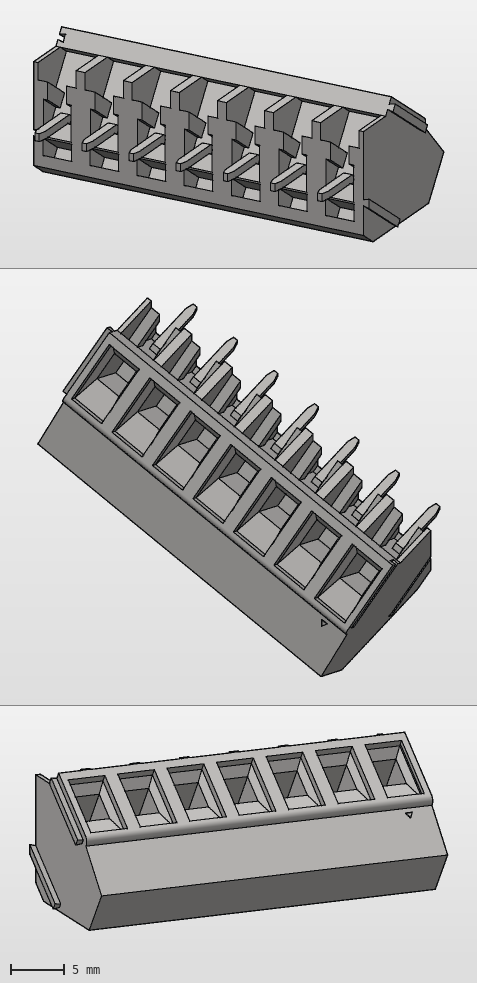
import cadquery as cq
import math


POLE_COUNT = 7
TOTAL_LENGTH = 35.6
TONGUE_DEPTH = 0.6
BODY_LENGTH = TOTAL_LENGTH - TONGUE_DEPTH
PITCH = BODY_LENGTH / POLE_COUNT
POLE_CENTRES = [PITCH * (pole + 0.5) for pole in range(POLE_COUNT)]

TILT = math.radians(35)
COS_TILT = math.cos(TILT)
SIN_TILT = math.sin(TILT)
OUTWARD = (0, -COS_TILT, SIN_TILT)
UPWARD = (0, SIN_TILT, COS_TILT)

FRONT_TOP = 11.75
FRONT_BOTTOM = 1.3
CHAMFER_BACK = 1.85
STEP_Y = 4.27
PEAK_Z = 13.3
NOSE_Y = 15.45
NOSE_Z = 4.1
BACK_BOTTOM_Y = 12.53
LIP_HEIGHT = 0.75
LIP_END_DEPTH = 5.1
LIP_RADIUS = 0.6

POCKET_FLOOR_DEPTH = -1.78
UPPER_SLOT_WIDTH = 4.05
UPPER_SLOT_BOTTOM = 10.0
NECK_WIDTH = 2.0
PIN_SLOT_WIDTH = 2.92
PIN_SLOT_TOP = 8.2
PIN_SLOT_BOTTOM = 4.45
LOWER_HOLE_WIDTH = 3.03
LOWER_HOLE_TOP = 4.27
LOWER_HOLE_BOTTOM = 2.53
LOWER_HOLE_FLOOR_DEPTH = 0.95
CLEAR_DEPTH = -14.25

OPENING_WIDTH = 3.7
OPENING_NEAR_DEPTH = -2.3
OPENING_FAR_DEPTH = 4.15
RECESS_HEIGHT = 0.8
FUNNEL_HEIGHT = 0.8
WELL_WIDTH = 2.7
WELL_NEAR_DEPTH = -1.42
WELL_FAR_DEPTH = 1.55
WELL_BOTTOM_RISE = 7.83

PIN_WIDTH = 0.9
PIN_THICKNESS = 0.8
PIN_TOP = 6.45
PIN_LENGTH = 3.85
PIN_BEND_Y = 1.55
PIN_ROOT_DEPTH = POCKET_FLOOR_DEPTH + 0.35
PIN_TIP_WIDTH = 0.45
PIN_TAPER = 0.8

DOVETAIL_NECK = 0.5
DOVETAIL_BASE = 0.8
DOVETAIL_END_DEPTH = 4.35
UPPER_DOVETAIL_RISE = 13.0
LOWER_DOVETAIL_RISE = 3.77

ARROW_WIDTH = 0.68
ARROW_LENGTH = 0.57
ARROW_GAP = 0.5
ARROW_HEIGHT = 0.07


def depth_of(y, z):
    return y * COS_TILT - z * SIN_TILT


def rise_of(y, z):
    return y * SIN_TILT + z * COS_TILT


def point_at(depth, rise):
    """Y and Z of a point given in the tilted frame."""
    return (depth * COS_TILT + rise * SIN_TILT, rise * COS_TILT - depth * SIN_TILT)


STEP_DEPTH = depth_of(STEP_Y, FRONT_TOP)
TOP_RISE = (PEAK_Z + STEP_DEPTH * SIN_TILT) / COS_TILT
LIP_BASE_RISE = TOP_RISE - LIP_HEIGHT
LIP_BASE = point_at(LIP_END_DEPTH, LIP_BASE_RISE)


def make_body():
    round_start = point_at(LIP_END_DEPTH - LIP_RADIUS, TOP_RISE)
    round_middle = point_at(
        LIP_END_DEPTH - LIP_RADIUS * (1 - math.cos(math.pi / 4)),
        TOP_RISE - LIP_RADIUS * (1 - math.sin(math.pi / 4)),
    )
    round_end = point_at(LIP_END_DEPTH, TOP_RISE - LIP_RADIUS)
    return (
        cq.Workplane("YZ")
        .moveTo(0, FRONT_BOTTOM)
        .lineTo(0, FRONT_TOP)
        .lineTo(STEP_Y, FRONT_TOP)
        .lineTo(*point_at(STEP_DEPTH, TOP_RISE))
        .lineTo(*round_start)
        .threePointArc(round_middle, round_end)
        .lineTo(*LIP_BASE)
        .lineTo(NOSE_Y, NOSE_Z)
        .lineTo(BACK_BOTTOM_Y, 0)
        .lineTo(CHAMFER_BACK, 0)
        .close()
        .extrude(BODY_LENGTH)
    )


def top_plane(rise):
    """Plane parallel to the tilted top face; local axes are X and depth."""
    origin = (0, rise * SIN_TILT, rise * COS_TILT)
    return cq.Workplane(cq.Plane(origin, (1, 0, 0), UPWARD))


def front_pocket(x, width, bottom_rise, top_rise, floor_depth):
    """Rectangular pocket entering along the depth direction."""
    origin = (x, floor_depth * COS_TILT, -floor_depth * SIN_TILT)
    return (
        cq.Workplane(cq.Plane(origin, (1, 0, 0), OUTWARD))
        .center(0, (bottom_rise + top_rise) / 2)
        .rect(width, top_rise - bottom_rise)
        .extrude(floor_depth - CLEAR_DEPTH)
    )


def front_pockets(x):
    upper_bottom = rise_of(0, UPPER_SLOT_BOTTOM)
    pin_bottom = rise_of(0, PIN_SLOT_BOTTOM)
    upper_slot = front_pocket(
        x, UPPER_SLOT_WIDTH, upper_bottom, rise_of(STEP_Y, FRONT_TOP), POCKET_FLOOR_DEPTH
    )
    neck = front_pocket(x, NECK_WIDTH, pin_bottom, upper_bottom, POCKET_FLOOR_DEPTH)
    pin_slot = front_pocket(
        x, PIN_SLOT_WIDTH, pin_bottom, rise_of(0, PIN_SLOT_TOP), POCKET_FLOOR_DEPTH
    )
    lower_hole = front_pocket(
        x,
        LOWER_HOLE_WIDTH,
        rise_of(0, LOWER_HOLE_BOTTOM),
        rise_of(0, LOWER_HOLE_TOP),
        LOWER_HOLE_FLOOR_DEPTH,
    )
    return upper_slot.union(neck).union(pin_slot).union(lower_hole)


def screw_opening(x):
    """Straight recess, then a funnel, then a rectangular well."""
    recess_floor = TOP_RISE - RECESS_HEIGHT
    funnel_floor = recess_floor - FUNNEL_HEIGHT
    opening_middle = (OPENING_NEAR_DEPTH + OPENING_FAR_DEPTH) / 2
    opening_span = OPENING_FAR_DEPTH - OPENING_NEAR_DEPTH
    well_middle = (WELL_NEAR_DEPTH + WELL_FAR_DEPTH) / 2
    well_span = WELL_FAR_DEPTH - WELL_NEAR_DEPTH
    recess = (
        top_plane(recess_floor)
        .center(x, opening_middle)
        .rect(OPENING_WIDTH, opening_span)
        .extrude(RECESS_HEIGHT)
    )
    funnel = (
        top_plane(funnel_floor)
        .center(x, well_middle)
        .rect(WELL_WIDTH, well_span)
        .workplane(offset=FUNNEL_HEIGHT)
        .center(0, opening_middle - well_middle)
        .rect(OPENING_WIDTH, opening_span)
        .loft(ruled=True)
    )
    well = (
        top_plane(WELL_BOTTOM_RISE)
        .center(x, well_middle)
        .rect(WELL_WIDTH, well_span)
        .extrude(funnel_floor - WELL_BOTTOM_RISE)
    )
    return recess.union(funnel).union(well)


def solder_pin(x):
    """Straight pin with a tapered tip, bent at its root to enter the pocket floor squarely."""
    pin_bottom = PIN_TOP - PIN_THICKNESS
    inner_bend_y = PIN_BEND_Y - PIN_THICKNESS * math.tan(TILT / 2)
    root_top = point_at(PIN_ROOT_DEPTH, rise_of(PIN_BEND_Y, PIN_TOP))
    root_bottom = point_at(PIN_ROOT_DEPTH, rise_of(inner_bend_y, pin_bottom))
    side_outline = [
        (-PIN_LENGTH, pin_bottom),
        (-PIN_LENGTH, PIN_TOP),
        (PIN_BEND_Y, PIN_TOP),
        root_top,
        root_bottom,
        (inner_bend_y, pin_bottom),
    ]
    bent_strip = (
        cq.Workplane("YZ", origin=(x, 0, 0))
        .polyline(side_outline)
        .close()
        .extrude(PIN_WIDTH / 2, both=True)
    )
    root_y = root_top[0]
    plan_outline = [
        (-PIN_TIP_WIDTH / 2, -PIN_LENGTH),
        (PIN_TIP_WIDTH / 2, -PIN_LENGTH),
        (PIN_WIDTH / 2, PIN_TAPER - PIN_LENGTH),
        (PIN_WIDTH / 2, root_y),
        (-PIN_WIDTH / 2, root_y),
        (-PIN_WIDTH / 2, PIN_TAPER - PIN_LENGTH),
    ]
    tapered_plan = cq.Workplane("XY").center(x, 0).polyline(plan_outline).close().extrude(PEAK_Z)
    return bent_strip.intersect(tapered_plan)


def dovetail_bar(x, rise):
    """Dovetail bar whose neck lies at x and whose wide base lies one tongue depth further along X."""
    origin = (x, *point_at(DOVETAIL_END_DEPTH, rise))
    section = [
        (0, -DOVETAIL_NECK / 2),
        (TONGUE_DEPTH, -DOVETAIL_BASE / 2),
        (TONGUE_DEPTH, DOVETAIL_BASE / 2),
        (0, DOVETAIL_NECK / 2),
    ]
    return (
        cq.Workplane(cq.Plane(origin, (1, 0, 0), OUTWARD))
        .polyline(section)
        .close()
        .extrude(DOVETAIL_END_DEPTH - CLEAR_DEPTH)
    )


def dovetails(x):
    """Upper bar ending flush with the step face and lower bar ending flush with the front face."""
    origin = (x, *point_at(STEP_DEPTH, 0))
    behind_step = (
        cq.Workplane(cq.Plane(origin, (1, 0, 0), OUTWARD))
        .rect(4 * TONGUE_DEPTH, 2 * TOTAL_LENGTH)
        .extrude(-TOTAL_LENGTH)
    )
    behind_front = cq.Workplane("XY").box(
        2 * TOTAL_LENGTH, TOTAL_LENGTH, TOTAL_LENGTH, centered=(True, False, True)
    )
    upper = dovetail_bar(x, UPPER_DOVETAIL_RISE).intersect(behind_step)
    lower = dovetail_bar(x, LOWER_DOVETAIL_RISE).intersect(behind_front)
    return upper.union(lower)


def pole_arrow():
    """Arrow on the back slope just below the lip, pointing towards the nose."""
    run = NOSE_Y - LIP_BASE[0]
    drop = LIP_BASE[1] - NOSE_Z
    origin = (POLE_CENTRES[0], *LIP_BASE)
    back_slope = cq.Plane(origin, (1, 0, 0), (0, drop, run))
    outline = [
        (-ARROW_WIDTH / 2, ARROW_GAP),
        (ARROW_WIDTH / 2, ARROW_GAP),
        (0, ARROW_GAP + ARROW_LENGTH),
    ]
    return (
        cq.Workplane(back_slope)
        .workplane(offset=-ARROW_HEIGHT)
        .polyline(outline)
        .close()
        .extrude(2 * ARROW_HEIGHT)
    )


block = make_body()
for centre in POLE_CENTRES:
    block = block.cut(front_pockets(centre)).cut(screw_opening(centre))
for centre in POLE_CENTRES:
    block = block.union(solder_pin(centre))

block = block.cut(dovetails(0))
block = block.union(dovetails(BODY_LENGTH))
result = block.union(pole_arrow())